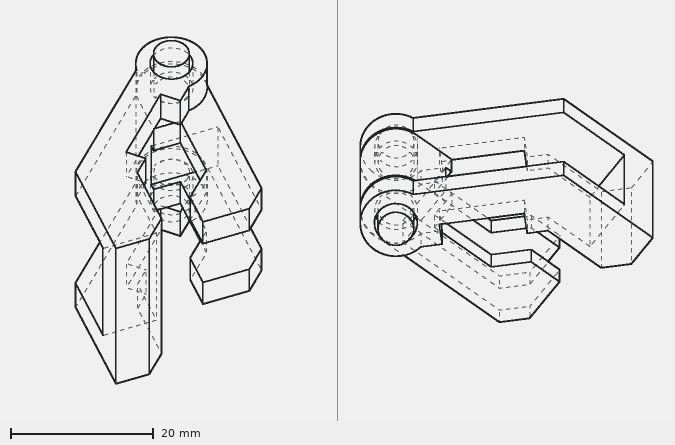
import cadquery as cq
import math


overall_length = 35.0
overall_depth = 25.0
barrel_radius = 5.0
pin_diameter = 5.0
pin_length = 32.0
hole_diameter = 6.0
tip_chamfer = 3.0

outer_height = 28.0
outer_plate = 5.0
bridge_width = 5.0
outer_jaw_depth = 8.0
arm_angle = -45.0
arm_width = 8.0
arm_notch_start = 6.0
arm_notch_end = 18.0
arm_notch_depth = 3.0

plate_gap = 0.5
root_length = 6.0
inner_reach = 25.0
inner_arm_width = 6.0
inner_jaw_drop = 4.0
inner_jaw_width = 5.0
fork_gap = 8.0
fork_start = 5.0

outer_tip_x = overall_length - barrel_radius
outer_bottom_y = barrel_radius - overall_depth
outer_jaw_top_y = outer_bottom_y + outer_jaw_depth
outer_opening = outer_height - 2 * outer_plate
inner_height = outer_opening - 2 * plate_gap
inner_arm_bottom_y = barrel_radius - inner_arm_width
inner_hook_y = inner_arm_bottom_y - inner_jaw_drop
inner_hook_x = inner_reach - inner_jaw_width


def centered_prism(sketch, height):
    """Extrude a flat outline by half the height to each side of Z = 0."""
    return sketch.extrude(height / 2, both=True)


def hinge_cylinder(diameter, height):
    return centered_prism(cq.Workplane("XY").circle(diameter / 2), height)


def box_between(x_start, x_end, y_start, y_end, height):
    outline = [(x_start, y_start), (x_end, y_start), (x_end, y_end), (x_start, y_end)]
    return centered_prism(cq.Workplane("XY").polyline(outline).close(), height)


def arm_point(along, across):
    """Point given along the sloping arm's centre line and across it, measured from the hinge axis."""
    angle = math.radians(arm_angle)
    x = along * math.cos(angle) - across * math.sin(angle)
    y = along * math.sin(angle) + across * math.cos(angle)
    return (x, y)


def arm_x_at(across, y):
    """X where the line at this offset across the arm reaches the given Y."""
    angle = math.radians(arm_angle)
    along = (y - across * math.cos(angle)) / math.sin(angle)
    return arm_point(along, across)[0]


def make_outer_jaw():
    half_arm = arm_width / 2
    notch_floor = half_arm - arm_notch_depth
    outline = [
        arm_point(0, half_arm),
        arm_point(arm_notch_start, half_arm),
        arm_point(arm_notch_start, notch_floor),
        arm_point(arm_notch_end, notch_floor),
        arm_point(arm_notch_end, half_arm),
        (arm_x_at(half_arm, outer_jaw_top_y), outer_jaw_top_y),
        (outer_tip_x - tip_chamfer, outer_jaw_top_y),
        (outer_tip_x, outer_jaw_top_y - tip_chamfer),
        (outer_tip_x, outer_bottom_y),
        (arm_x_at(-half_arm, outer_bottom_y), outer_bottom_y),
        arm_point(0, -half_arm),
    ]
    arm = centered_prism(cq.Workplane("XY").polyline(outline).close(), outer_height)
    jaw = arm.union(hinge_cylinder(2 * barrel_radius, outer_height))

    opening = box_between(
        -barrel_radius, outer_tip_x - bridge_width, outer_bottom_y, barrel_radius, outer_opening
    )
    return jaw.cut(opening).cut(hinge_cylinder(hole_diameter, outer_height))


def make_inner_jaw_with_pin():
    outline = [
        (0, barrel_radius),
        (inner_reach - tip_chamfer, barrel_radius),
        (inner_reach, barrel_radius - tip_chamfer),
        (inner_reach, inner_hook_y),
        (inner_hook_x, inner_hook_y),
        (inner_hook_x - inner_jaw_drop, inner_arm_bottom_y),
        (root_length, inner_arm_bottom_y),
        (root_length, -barrel_radius),
        (0, -barrel_radius),
    ]
    arm = centered_prism(cq.Workplane("XY").polyline(outline).close(), inner_height)
    fork_opening = box_between(fork_start, inner_reach, -barrel_radius, barrel_radius, fork_gap)
    barrel = hinge_cylinder(2 * barrel_radius, inner_height)
    pin = hinge_cylinder(pin_diameter, pin_length)
    return arm.union(barrel).cut(fork_opening).union(pin)


outer_jaw = make_outer_jaw()
inner_jaw_with_pin = make_inner_jaw_with_pin()

result = cq.Compound.makeCompound([outer_jaw.solids().val(), inner_jaw_with_pin.solids().val()])